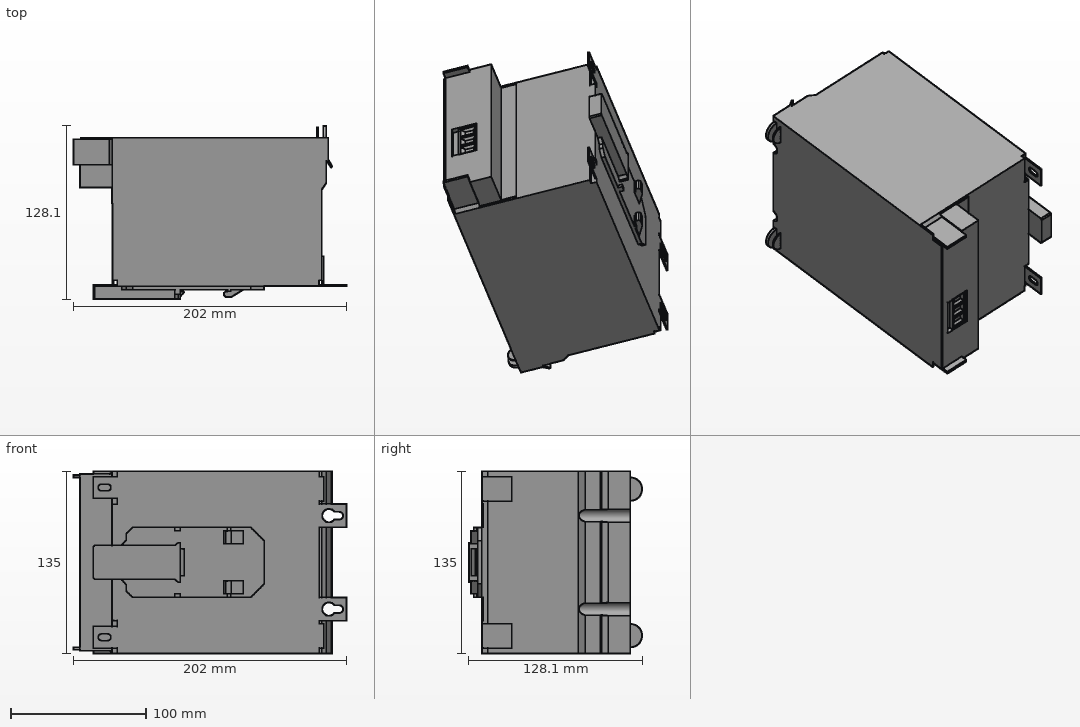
import cadquery as cq


HEIGHT = 135.0
HALF_HEIGHT = HEIGHT / 2
DEPTH = 109.9
WALL_X = 154.7
STEP_X = 158.2
FRONT_X = 159.5
STEP_Y_START = 71.3
STEP_Y_END = 76.4
FRONT_EDGE_Y = 93.1
SHEET = 1.0

RELIEF_DEPTH = 4.2
LEFT_RELIEF = 3.5
RIGHT_RELIEF_X = 152.7

TAB_REACH = 14.1
TAB_INNER_Z = 47.3
TAB_OUTER_Z = 63.5
TAB_RELIEF_Z = 43.0
TAB_SLOT_LENGTH = 9.5
TAB_SLOT_WIDTH = 4.8
TAB_SLOT_X = -5.9

EAR_END_X = 173.1
EAR_INNER_Z = 25.9
EAR_OUTER_Z = 43.2
KEYHOLE_X = 160.0
KEYHOLE_RADIUS = 4.8
KEYHOLE_SLOT_WIDTH = 5.5
KEYHOLE_SLOT_END_X = 167.7
SIDE_PLATE_INNER_Z = 45.2
SIDE_PLATE_TOP_Y = 22.2
SIDE_PLATE_END_X = 156.3

FLAP_ROOT = (157.8, 93.1)
FLAP_TIP = (161.8, 87.5)
FLAP_THICKNESS = 1.2

COVER_HALF_HEIGHT = 65.5
COVER_REACH = 24.0
COVER_Y_START = 73.0
COVER_Y_NECK = 89.7
COVER_Y_END = 108.7
STRIP_REACH = 23.5
LIP_THICKNESS = 0.6
LIP_Y_START = 61.2
LATCH_INNER_Z = 62.6
LATCH_OUTER_Z = 64.6
LATCH_REACH = 28.9
LATCH_RAMP_X = -2.5

SOCKET_Y_START = 84.5
SOCKET_Y_END = 103.6
SOCKET_Z_MIN = -29.9
SOCKET_Z_MAX = 1.0
SOCKET_DEPTH = 3.5
TERMINAL_Y_END = 98.5
TERMINAL_SETBACK = 0.5
FUNNEL_COUNT = 3
FUNNEL_PITCH = 10.0
FUNNEL_MOUTH_Y = 91.5
FUNNEL_MOUTH_WIDTH = 11.5
FUNNEL_MOUTH_HEIGHT = 9.7
FUNNEL_FLOOR_Y = 91.0
FUNNEL_FLOOR_WIDTH = 6.5
FUNNEL_FLOOR_HEIGHT = 5.7
FUNNEL_COLLAR = 1.6
FUNNEL_TAPER = 1.6

CLIP_THICKNESS = 2.8
CLIP_HALF_HEIGHT = 25.9
CLIP_RIM_WIDTH = 2.6
SLIDER_HALF_HEIGHT = 12.5
SLIDER_END_X = 50.0
SLIDER_TOP_Y = -9.5
SLIDER_CHAMFER = 1.0
WING_START_X = 46.0
WING_RAMP_END_X = 48.5
WING_HALF_HEIGHT = 14.5
POST_TOP_Y = -6.0
NOSE_HALF_HEIGHT = 9.9
NOSE_BASE_Y = -3.8
NOSE_BASE_X = 52.3
NOSE_TIP = (53.0, -4.6)
NOSE_ROOT_Y = -7.7
HOOK_INNER_Z = 13.7
HOOK_OUTER_Z = CLIP_HALF_HEIGHT - CLIP_RIM_WIDTH
HOOK_STEM_X = 84.8
HOOK_STEM_END_X = 87.3
HOOK_UNDER_Y = -3.8
HOOK_TOP_Y = -8.0
HOOK_TIP_X = 82.5
HOOK_TIP_CHAMFER = 1.2
HOOK_CREST_END_X = 87.9
HOOK_HEEL_X = 96.5

LUG_Z = 54.1
LARGE_LUG_RADIUS = 8.7
LARGE_LUG_X = 155.7
LARGE_LUG_THICKNESS = 2.5
SMALL_LUG_RADIUS = 7.5
SMALL_LUG_X = 151.0
SMALL_LUG_THICKNESS = 1.0


def box(x0, x1, y0, y1, z0, z1):
    return cq.Workplane("XY").box(x1 - x0, y1 - y0, z1 - z0, centered=False).translate((x0, y0, z0))


def plan_prism(points, z0, z1):
    """Extrude an (X, Y) outline from z0 to z1."""
    return cq.Workplane("XY").workplane(offset=z0).polyline(points).close().extrude(z1 - z0)


def face_prism(points, y0, y1):
    """Extrude an (X, Z) outline from y0 to y1, with y0 < y1."""
    return cq.Workplane("XZ", origin=(0, y1, 0)).polyline(points).close().extrude(y1 - y0)


def both_ends(shape):
    """Add the mirror image of a shape about the mid-height plane."""
    return shape.union(shape.mirror("XY"))


def make_housing():
    outline = [
        (0, 0),
        (WALL_X, 0),
        (WALL_X, STEP_Y_START),
        (STEP_X, STEP_Y_END),
        (STEP_X, FRONT_EDGE_Y),
        (FRONT_X, FRONT_EDGE_Y),
        (FRONT_X, DEPTH),
        (0, DEPTH),
    ]
    housing = plan_prism(outline, -HALF_HEIGHT, HALF_HEIGHT)
    left = box(0, LEFT_RELIEF, 0, RELIEF_DEPTH, -HALF_HEIGHT, HALF_HEIGHT)
    right = box(RIGHT_RELIEF_X, WALL_X, 0, RELIEF_DEPTH, -HALF_HEIGHT, HALF_HEIGHT)
    edge_wall = box(0, SHEET, 0, RELIEF_DEPTH, -TAB_RELIEF_Z, TAB_RELIEF_Z)
    edge_base = box(0, LEFT_RELIEF, 0, SHEET, -TAB_RELIEF_Z, TAB_RELIEF_Z)
    front_strip = box(-TAB_REACH, 0, COVER_Y_END, DEPTH, -HALF_HEIGHT, HALF_HEIGHT)
    return housing.cut(left).cut(right).union(edge_wall).union(edge_base).union(front_strip)


def make_left_tabs():
    tab = box(-TAB_REACH, LEFT_RELIEF, 0, SHEET, TAB_INNER_Z, TAB_OUTER_Z)
    slot = (
        cq.Workplane("XZ", origin=(TAB_SLOT_X, SHEET, (TAB_INNER_Z + TAB_OUTER_Z) / 2))
        .slot2D(TAB_SLOT_LENGTH, TAB_SLOT_WIDTH)
        .extrude(SHEET)
    )
    return both_ends(tab.cut(slot))


def make_right_ears():
    ear = box(RIGHT_RELIEF_X, EAR_END_X, 0, SHEET, EAR_INNER_Z, EAR_OUTER_Z)
    ear_z = (EAR_INNER_Z + EAR_OUTER_Z) / 2
    keyhole = (
        cq.Workplane("XZ", origin=(KEYHOLE_X, SHEET, ear_z))
        .circle(KEYHOLE_RADIUS)
        .extrude(SHEET)
    )
    slot_reach = KEYHOLE_SLOT_END_X - KEYHOLE_X
    slot = (
        cq.Workplane("XZ", origin=(KEYHOLE_X + slot_reach / 2, SHEET, ear_z))
        .slot2D(slot_reach + KEYHOLE_SLOT_WIDTH, KEYHOLE_SLOT_WIDTH)
        .extrude(SHEET)
    )
    return both_ends(ear.cut(keyhole).cut(slot))


def make_keyhole_access():
    """Clear path from each keyhole through the step, the flap and the front cover's edge."""
    access = (
        cq.Workplane("XZ", origin=(KEYHOLE_X, DEPTH, (EAR_INNER_Z + EAR_OUTER_Z) / 2))
        .circle(KEYHOLE_RADIUS)
        .extrude(DEPTH)
    )
    return both_ends(access)


def make_side_plates():
    base = box(RIGHT_RELIEF_X, SIDE_PLATE_END_X, 0, SHEET, SIDE_PLATE_INNER_Z, TAB_OUTER_Z)
    upright = box(WALL_X, SIDE_PLATE_END_X, 0, SIDE_PLATE_TOP_Y, SIDE_PLATE_INNER_Z, TAB_OUTER_Z)
    return both_ends(base.union(upright))


def make_flap():
    (root_x, root_y), (tip_x, tip_y) = FLAP_ROOT, FLAP_TIP
    outline = [
        (root_x, root_y),
        (tip_x, tip_y),
        (tip_x + FLAP_THICKNESS / 2, tip_y + FLAP_THICKNESS),
        (root_x + FLAP_THICKNESS, root_y + FLAP_THICKNESS),
    ]
    return plan_prism(outline, -HALF_HEIGHT, HALF_HEIGHT)


def make_cover():
    front = box(-COVER_REACH, 0, COVER_Y_START, COVER_Y_NECK, -COVER_HALF_HEIGHT, COVER_HALF_HEIGHT)
    back = box(-COVER_REACH, 0, COVER_Y_NECK, COVER_Y_END, -LATCH_OUTER_Z, LATCH_OUTER_Z)
    strip = box(-STRIP_REACH, 0, COVER_Y_END, DEPTH, -LATCH_INNER_Z, LATCH_INNER_Z)
    lip = box(-LIP_THICKNESS, 0, LIP_Y_START, COVER_Y_START, -COVER_HALF_HEIGHT, COVER_HALF_HEIGHT)
    latch_outline = [
        (-LATCH_REACH, LATCH_INNER_Z),
        (0, LATCH_INNER_Z),
        (0, HALF_HEIGHT),
        (LATCH_RAMP_X, LATCH_OUTER_Z),
        (-LATCH_REACH, LATCH_OUTER_Z),
    ]
    latches = both_ends(face_prism(latch_outline, COVER_Y_NECK, COVER_Y_END))
    cover = front.union(back).union(strip).union(lip).union(latches)
    return cover.cut(make_socket())


def make_socket():
    """Recess around the terminal block, with one tapered wire funnel per terminal."""
    face_x = -COVER_REACH
    block_x = face_x + TERMINAL_SETBACK
    floor_x = face_x + SOCKET_DEPTH
    recess = box(face_x, floor_x, SOCKET_Y_START, SOCKET_Y_END, SOCKET_Z_MIN, SOCKET_Z_MAX)
    terminal = box(block_x, floor_x, SOCKET_Y_START, TERMINAL_Y_END, SOCKET_Z_MIN, SOCKET_Z_MAX)
    recess = recess.cut(terminal)
    middle_z = (SOCKET_Z_MIN + SOCKET_Z_MAX) / 2
    for index in range(FUNNEL_COUNT):
        funnel_z = middle_z + (index - (FUNNEL_COUNT - 1) / 2) * FUNNEL_PITCH
        collar = (
            cq.Workplane("YZ", origin=(block_x, FUNNEL_MOUTH_Y, funnel_z))
            .rect(FUNNEL_MOUTH_WIDTH, FUNNEL_MOUTH_HEIGHT)
            .extrude(FUNNEL_COLLAR)
        )
        taper = (
            cq.Workplane("YZ", origin=(block_x + FUNNEL_COLLAR, FUNNEL_MOUTH_Y, funnel_z))
            .rect(FUNNEL_MOUTH_WIDTH, FUNNEL_MOUTH_HEIGHT)
            .workplane(offset=FUNNEL_TAPER)
            .center(FUNNEL_FLOOR_Y - FUNNEL_MOUTH_Y, 0)
            .rect(FUNNEL_FLOOR_WIDTH, FUNNEL_FLOOR_HEIGHT)
            .loft(combine=True)
        )
        recess = recess.union(collar).union(taper)
    return recess


def make_clip_plate():
    upper = [
        (6.7, 12.7),
        (10.0, 16.4),
        (10.0, 21.2),
        (15.0, CLIP_HALF_HEIGHT),
        (102.2, CLIP_HALF_HEIGHT),
        (112.1, 16.0),
    ]
    lower = [(x, -z) for x, z in reversed(upper)]
    return face_prism(upper + lower, -CLIP_THICKNESS, 0)


def make_slider():
    body = box(-TAB_REACH, SLIDER_END_X, SLIDER_TOP_Y, 0, -SLIDER_HALF_HEIGHT, SLIDER_HALF_HEIGHT)
    body = body.edges("<X and |Y").chamfer(SLIDER_CHAMFER)
    wing_outline = [
        (WING_START_X, -SLIDER_HALF_HEIGHT),
        (WING_START_X, SLIDER_HALF_HEIGHT),
        (WING_RAMP_END_X, WING_HALF_HEIGHT),
        (SLIDER_END_X, WING_HALF_HEIGHT),
        (SLIDER_END_X, -SLIDER_HALF_HEIGHT),
    ]
    wings = both_ends(face_prism(wing_outline, SLIDER_TOP_Y, -CLIP_THICKNESS))
    nose_outline = [
        (SLIDER_END_X, NOSE_ROOT_Y),
        NOSE_TIP,
        (NOSE_BASE_X, NOSE_BASE_Y),
        (SLIDER_END_X, NOSE_BASE_Y),
    ]
    nose = plan_prism(nose_outline, -NOSE_HALF_HEIGHT, NOSE_HALF_HEIGHT)
    return body.union(wings).union(nose)


def make_clip_hooks():
    hook_outline = [
        (HOOK_STEM_X, -CLIP_THICKNESS),
        (HOOK_HEEL_X, -CLIP_THICKNESS),
        (HOOK_CREST_END_X, HOOK_TOP_Y),
        (HOOK_TIP_X + HOOK_TIP_CHAMFER, HOOK_TOP_Y),
        (HOOK_TIP_X, HOOK_TOP_Y + HOOK_TIP_CHAMFER),
        (HOOK_TIP_X, HOOK_UNDER_Y - HOOK_TIP_CHAMFER),
        (HOOK_TIP_X + HOOK_TIP_CHAMFER, HOOK_UNDER_Y),
        (HOOK_STEM_X, HOOK_UNDER_Y),
    ]
    hook = plan_prism(hook_outline, HOOK_INNER_Z, HOOK_OUTER_Z)
    stem = box(HOOK_STEM_X, HOOK_STEM_END_X, HOOK_UNDER_Y, -CLIP_THICKNESS, HOOK_OUTER_Z, CLIP_HALF_HEIGHT)
    post = box(WING_START_X, SLIDER_END_X, POST_TOP_Y, -CLIP_THICKNESS, HOOK_OUTER_Z, CLIP_HALF_HEIGHT)
    return both_ends(hook.union(stem).union(post))


def make_lugs(x, thickness, radius):
    """Two half-round lugs rising from the front cover; the other half lies inside the housing."""
    lug = cq.Workplane("YZ", origin=(x, DEPTH, LUG_Z)).circle(radius).extrude(thickness)
    return both_ends(lug)


result = (
    make_housing()
    .union(make_flap())
    .cut(make_keyhole_access())
    .union(make_left_tabs())
    .union(make_right_ears())
    .union(make_side_plates())
    .union(make_cover())
    .union(make_clip_plate())
    .union(make_slider())
    .union(make_clip_hooks())
    .union(make_lugs(LARGE_LUG_X, LARGE_LUG_THICKNESS, LARGE_LUG_RADIUS))
    .union(make_lugs(SMALL_LUG_X, SMALL_LUG_THICKNESS, SMALL_LUG_RADIUS))
)